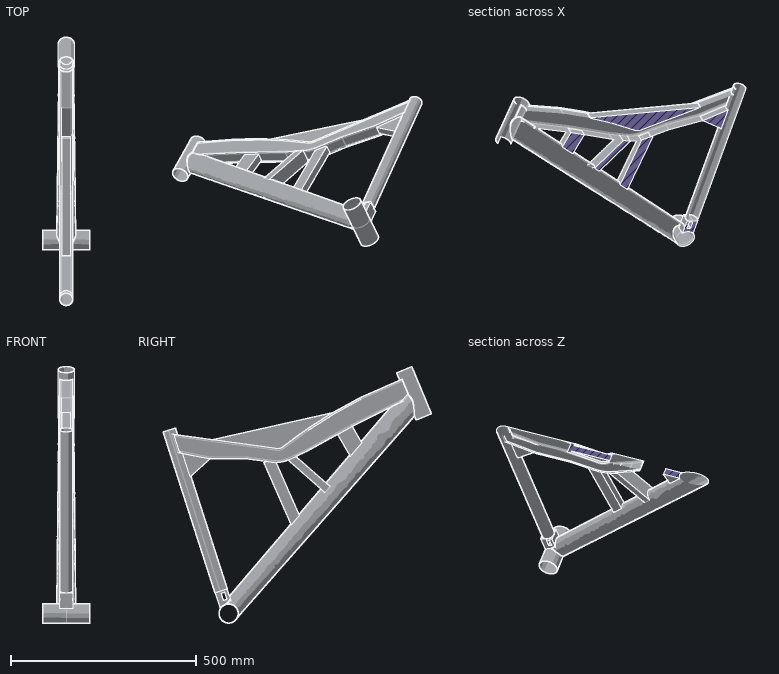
import cadquery as cq
import math


wall = 1.5
plate_width = 22.0

bracket_center = (0, 0)
bracket_length = 127.0
bracket_diameter = 53.0

head_top = (474.0, 659.0)
head_bottom = (527.0, 531.0)
head_diameter = 46.0

seat_top = (-160.5, 496.0)
seat_bottom = (-20.0, 61.0)
seat_diameter = 36.0

down_top = (504.0, 585.5)
down_bottom = (-1.5, 1.5)
down_top_width = 41.0
down_top_depth = 67.0
down_bottom_width = 53.0
down_bottom_depth = 55.0

top_tube_width = 35.5
top_tube_corner = 3.5

front_strut_depth = 46.0
rear_strut_depth = 31.0
brace_depth = 22.0
brace_width = 40.0

block_width = 35.5
block_depth = 34.0
slot_length = 19.5
slot_width = 9.5
slot_center = (-12.0, 46.5)


def unit_vector(start, end):
    """Direction in the frame plane from one point to another."""
    return cq.Vector(0, end[0] - start[0], end[1] - start[1]).normalized()


def length_between(start, end):
    return math.dist(start, end)


def plane_along(start, end):
    """Plane at start facing end, with its local X pointing to -X."""
    return cq.Plane(origin=(0, *start), xDir=(-1, 0, 0), normal=unit_vector(start, end))


def round_bar(start, end, diameter):
    return cq.Workplane(plane_along(start, end)).circle(diameter / 2).extrude(length_between(start, end))


def plate(points, width):
    """Flat-sided piece with a polygon outline, centred on the frame plane."""
    return cq.Workplane("YZ").polyline(points).close().extrude(width / 2, both=True)


def strut(start, end, depth, width):
    """Straight rectangular bar between two points of its centre line."""
    return cq.Workplane(plane_along(start, end)).rect(width, depth).extrude(length_between(start, end))


def down_tube_body(inset):
    """Oval taper from the head tube to the bottom bracket, shrunk by inset."""
    turn = -90
    return (
        cq.Workplane(plane_along(down_top, down_bottom))
        .ellipse(down_top_depth / 2 - inset, down_top_width / 2 - inset, turn)
        .workplane(offset=length_between(down_top, down_bottom))
        .ellipse(down_bottom_depth / 2 - inset, down_bottom_width / 2 - inset, turn)
        .loft(ruled=True)
    )


def top_tube_outline():
    """Bent and tapered outline, from the head tube axis to the seat tube axis."""
    return (
        cq.Workplane("YZ")
        .moveTo(493.0, 644.0)
        .lineTo(356.0, 584.0)
        .threePointArc((250.0, 524.0), (145.0, 449.5))
        .threePointArc((136.0, 446.0), (126.0, 447.0))
        .lineTo(-155.5, 485.0)
        .lineTo(-140.0, 435.0)
        .lineTo(-50.0, 417.5)
        .lineTo(49.0, 417.5)
        .lineTo(120.5, 408.0)
        .threePointArc((142.0, 409.0), (162.0, 415.0))
        .lineTo(214.0, 439.5)
        .lineTo(334.0, 505.5)
        .lineTo(516.0, 595.5)
        .close()
    )


bracket = cq.Workplane("YZ").circle(bracket_diameter / 2).extrude(bracket_length / 2, both=True)
head_tube = round_bar(head_top, head_bottom, head_diameter)
seat_tube = round_bar(seat_top, seat_bottom, seat_diameter)
down_tube = down_tube_body(0)
top_tube = top_tube_outline().extrude(top_tube_width / 2, both=True)

seat_block = strut(seat_bottom, bracket_center, block_depth, block_width)
slot_plane = cq.Plane(
    origin=(0, *slot_center), xDir=unit_vector(seat_bottom, seat_top), normal=(1, 0, 0)
)
slot = cq.Workplane(slot_plane).rect(slot_length, slot_width).extrude(block_width, both=True)

upper_gusset = plate([(279.5, 542.5), (-43.5, 470.0), (123.5, 439.5), (149.0, 445.0)], plate_width)
seat_gusset = plate([(-50.0, 425.0), (-50.0, 417.5), (-102.5, 370.5), (-131.0, 385.0), (-123.5, 439.5)], plate_width)

front_strut = strut((305.0, 510.5), (359.5, 416.0), front_strut_depth, plate_width)
brace = strut((164.0, 425.5), (267.0, 335.0), brace_depth, brace_width)
brace = brace.cut(top_tube_outline().extrude(brace_width, both=True))
rear_strut = strut((109.0, 414.0), (189.0, 232.5), rear_strut_depth, plate_width)

bracket_bore = (
    cq.Workplane("YZ").circle(bracket_diameter / 2 - wall).extrude(bracket_length / 2, both=True)
)
head_bore = round_bar(head_top, head_bottom, head_diameter - 2 * wall)
seat_bore = round_bar(seat_top, seat_bottom, seat_diameter - 2 * wall)
down_hollow = down_tube_body(wall).cut(bracket).cut(head_tube).cut(seat_block)
top_hollow = (
    top_tube_outline()
    .offset2D(-wall)
    .extrude(top_tube_width / 2 - wall, both=True)
    .edges("#X")
    .fillet(top_tube_corner)
    .cut(head_tube)
    .cut(seat_tube)
    .cut(down_tube)
)

result = bracket
for piece in (
    head_tube, seat_tube, down_tube, top_tube, seat_block,
    upper_gusset, seat_gusset, front_strut, brace, rear_strut,
):
    result = result.union(piece)
for hollow in (bracket_bore, head_bore, seat_bore, down_hollow, top_hollow, slot):
    result = result.cut(hollow)